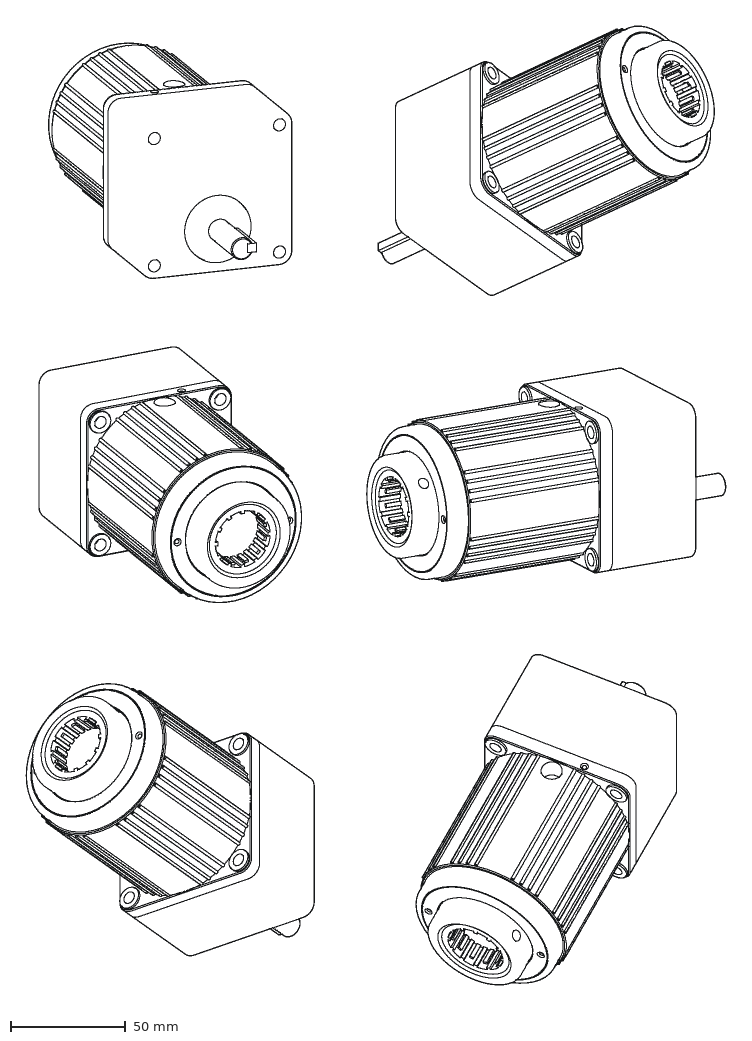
import cadquery as cq
import math


total_length = 164.8
shaft_length = 29.0
boss_height = 3.0
case_length = 42.2
flange_thickness = 6.5
housing_length = 65.0
cap_length = 8.7

shaft_end = total_length
boss_face = shaft_end - shaft_length
case_face = boss_face - boss_height
case_back = case_face - case_length
flange_back = case_back - flange_thickness
housing_back = flange_back - housing_length
cap_back = housing_back - cap_length

square_size = 70.0
corner_radius = 6.0
bolt_offset = square_size / 2 - corner_radius
bolt_hole_diameter = 5.5
pad_radius = 5.0
pad_height = 1.0
flange_edge_chamfer = 0.5
case_edge_fillet = 1.0

housing_radius = square_size / 2
housing_edge_chamfer = 0.5
cap_radius = 33.75
cap_fillet = 2.0
groove_outer_radius = 30.4
groove_width = 0.4
groove_depth = 1.0

rib_radius = 0.7
rib_first_angle = 14.5
rib_pitch_angle = 7.0
ribs_per_group = 4
rib_back_gap = 1.0

lead_hole_diameter = 9.2
lead_hole_from_flange = 5.3
lead_hole_depth = 10.0
screw_mouth_diameter = 3.4
screw_bore_diameter = 2.0
screw_hole_depth = 4.0
ground_screw_y = -12.0
ground_screw_from_flange = 2.7
cap_screw_offset = 27.0

hub_radius = 22.75
hub_clearance = 0.4
hub_fillet = 1.1
hub_socket_depth = 1.0
hub_mouth_radius = 17.6
hub_mouth_inset = 1.4
hub_mouth_depth = 1.0
spline_outer_radius = 13.2
spline_inner_radius = 12.1
tooth_width = 1.8
tooth_count = 24
tooth_setback = 3.0
hub_hole_diameter = 4.8
hub_hole_x = 6.0
hub_hole_angle = 40.0

hub_end = cap_back + hub_socket_depth

shaft_radius = 5.0
shaft_z = -15.0
shaft_chamfer = 0.5
boss_radius = 15.0
boss_fillet = 1.0
key_width = 4.0
key_height = 4.0
key_length = 25.0
key_seat_depth = 2.5

key_start = shaft_end - key_length
key_bottom = shaft_radius - key_seat_depth


def across_x(x):
    """Sketch plane normal to X at the given X, with local axes Y and Z."""
    return cq.Workplane("YZ", origin=(x, 0, 0))


def rod(x_start, x_end, radius):
    """Cylinder on the motor axis."""
    return across_x(x_start).circle(radius).extrude(x_end - x_start)


def square_block(x_start, x_end):
    """Round-cornered square prism centred on the motor axis."""
    block = across_x(x_start).rect(square_size, square_size).extrude(x_end - x_start)
    return block.edges("|X").fillet(corner_radius)


def at_corners(x):
    """The four bolt positions in a plane normal to X."""
    return across_x(x).rect(2 * bolt_offset, 2 * bolt_offset, forConstruction=True).vertices()


def drill_bolt_holes(body, x_start, x_end):
    return body.cut(at_corners(x_start).circle(bolt_hole_diameter / 2).extrude(x_end - x_start))


def screw_hole(point, direction):
    """Small hole with a countersunk mouth, running from point along direction."""
    start = cq.Vector(*point)
    heading = cq.Vector(*direction)
    mouth_radius = screw_mouth_diameter / 2
    bore_radius = screw_bore_diameter / 2
    mouth = cq.Solid.makeCone(mouth_radius, bore_radius, mouth_radius - bore_radius, start, heading)
    bore = cq.Solid.makeCylinder(bore_radius, screw_hole_depth, start, heading)
    return cq.Workplane(mouth.fuse(bore))


def make_ribs():
    """Half-round ribs along the housing, in eight groups."""
    quarter_turn = 90.0
    ribs = cq.Workplane()
    for quadrant in range(4):
        for number in range(ribs_per_group):
            step = rib_first_angle + number * rib_pitch_angle
            for angle in (quadrant * quarter_turn + step, (quadrant + 1) * quarter_turn - step):
                turn = math.radians(angle)
                y = housing_radius * math.cos(turn)
                z = housing_radius * math.sin(turn)
                rib_start = housing_back + rib_back_gap
                rib = across_x(rib_start).center(y, z).circle(rib_radius)
                ribs.add(rib.extrude(flange_back - rib_start))
    return ribs


def make_motor():
    cap = rod(cap_back, housing_back, cap_radius).faces("<X").edges().fillet(cap_fillet)
    housing = rod(housing_back, flange_back, housing_radius)
    housing = housing.faces("<X").edges().chamfer(housing_edge_chamfer)
    flange = square_block(flange_back, case_back).faces("<X").edges().chamfer(flange_edge_chamfer)
    pads = at_corners(flange_back - pad_height).circle(pad_radius).extrude(pad_height)

    motor = flange.union(pads).union(housing).union(cap)
    for rib in make_ribs().vals():
        motor = motor.union(cq.Workplane(rib))

    groove = across_x(cap_back).circle(groove_outer_radius).circle(groove_outer_radius - groove_width)
    motor = motor.cut(groove.extrude(groove_depth))
    motor = motor.cut(rod(cap_back, hub_end, hub_radius + hub_clearance))
    motor = drill_bolt_holes(motor, flange_back - pad_height, case_back)

    lead_hole = cq.Workplane("XY", origin=(flange_back - lead_hole_from_flange, 0, housing_radius))
    motor = motor.cut(lead_hole.circle(lead_hole_diameter / 2).extrude(-lead_hole_depth))

    ground_screw_x = flange_back + ground_screw_from_flange
    motor = motor.cut(screw_hole((ground_screw_x, ground_screw_y, square_size / 2), (0, 0, -1)))
    for side in (-1, 1):
        motor = motor.cut(screw_hole((cap_back, side * cap_screw_offset, 0), (1, 0, 0)))
    return motor


def spline_tooth(number):
    """Tooth on the hub bore, reaching out past the bore wall to join it."""
    start = hub_mouth_depth + (number % 2) * tooth_setback
    overlap = 0.5
    depth = spline_outer_radius - spline_inner_radius + overlap
    tooth = across_x(start).center(spline_inner_radius + depth / 2, 0).rect(depth, tooth_width)
    tooth = tooth.extrude(hub_end - start)
    return tooth.rotate((0, 0, 0), (1, 0, 0), number * 360.0 / tooth_count)


def make_hub():
    hub = rod(0, hub_end, hub_radius).faces("<X").edges().fillet(hub_fillet)
    mouth_floor_radius = hub_mouth_radius - hub_mouth_inset
    mouth = cq.Solid.makeCone(
        hub_mouth_radius, mouth_floor_radius, hub_mouth_depth, cq.Vector(0, 0, 0), cq.Vector(1, 0, 0)
    )
    hub = hub.cut(cq.Workplane(mouth)).cut(rod(0, hub_end, spline_outer_radius))
    for number in range(tooth_count):
        hub = hub.union(spline_tooth(number))

    turn = math.radians(hub_hole_angle)
    outward = cq.Vector(0, -math.cos(turn), math.sin(turn))
    hole_start = cq.Vector(hub_hole_x, 0, 0) + outward * spline_outer_radius
    hole = cq.Solid.makeCylinder(hub_hole_diameter / 2, hub_radius, hole_start, outward)
    return hub.cut(cq.Workplane(hole))


def make_key():
    """Key on the +Y side of the shaft, with a round inner end and a square end at the shaft tip."""
    half_width = key_width / 2
    outline = (
        cq.Workplane("XZ", origin=(0, key_bottom, shaft_z))
        .moveTo(shaft_end, -half_width)
        .lineTo(key_start + half_width, -half_width)
        .threePointArc((key_start, 0), (key_start + half_width, half_width))
        .lineTo(shaft_end, half_width)
        .close()
    )
    return outline.extrude(-key_height)


def make_gearhead():
    case = square_block(case_back, case_face).faces(">X").edges().fillet(case_edge_fillet)
    case = drill_bolt_holes(case, case_back, case_face)
    boss = across_x(case_face).center(0, shaft_z).circle(boss_radius).extrude(boss_height)
    boss = boss.faces(">X").edges().fillet(boss_fillet)
    shaft = across_x(boss_face).center(0, shaft_z).circle(shaft_radius).extrude(shaft_length)
    shaft = shaft.faces(">X").edges().chamfer(shaft_chamfer)
    return case.union(boss).union(shaft).cut(make_key())


motor = make_motor()
hub = make_hub()
gearhead = make_gearhead()
key = make_key()

result = cq.Compound.makeCompound([motor.val(), hub.val(), gearhead.val(), key.val()])